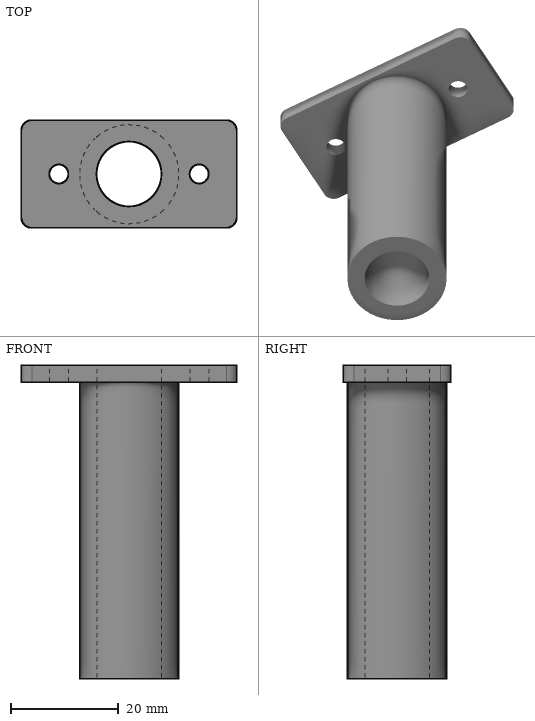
import cadquery as cq

total_height = 58.2
flange_length = 40.0
flange_width = 20.0
flange_thickness = 3.2
corner_radius = 2.0

tube_diameter = 18.4
bore_diameter = 12.0
screw_hole_diameter = 3.5
screw_hole_spacing = 26.0

tube_length = total_height - flange_thickness


def make_tube():
    """Round tube body, standing on the XY plane."""
    return cq.Workplane("XY").circle(tube_diameter / 2).extrude(tube_length)


def make_flange():
    """Rounded rectangular flange on top of the tube, with two screw holes."""
    return (
        cq.Workplane("XY")
        .workplane(offset=tube_length)
        .rect(flange_length, flange_width)
        .extrude(flange_thickness)
        .edges("|Z")
        .fillet(corner_radius)
        .faces(">Z")
        .workplane()
        .rarray(screw_hole_spacing, 0.6, 2, 1)
        .hole(screw_hole_diameter)
    )


bore = cq.Workplane("XY").circle(bore_diameter / 2).extrude(total_height)

result = make_tube().union(make_flange()).cut(bore)